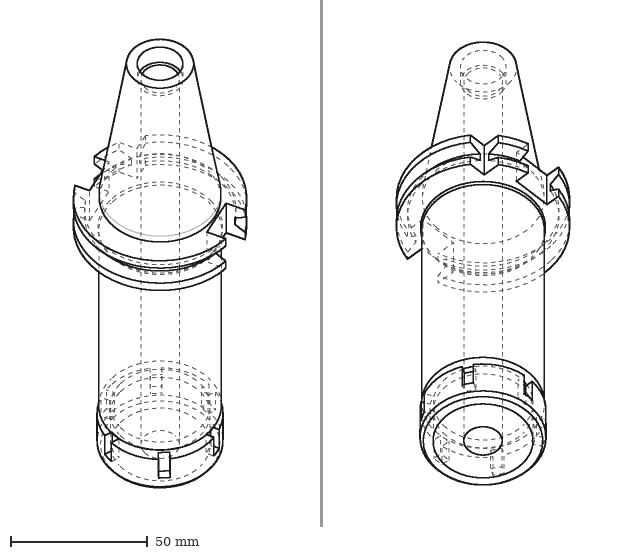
import cadquery as cq
import math

TOTAL_HEIGHT = 203.5
GAUGE_HEIGHT = 135.0
COLLAR_HEIGHT = 3.3
FLANGE_THICKNESS = 15.9
NECK_HEIGHT = 4.3
NUT_HEIGHT = 16.5

TAPER_RATIO = 7 / 24
GAUGE_DIAMETER = 44.5
SHANK_DIAMETER = 45.0
NECK_DIAMETER = 36.6
SHANK_RELIEF_HEIGHT = 1.2
SHANK_RELIEF_WIDTH = 0.5

BORE_DIAMETER = 14.0
COUNTERBORE_DIAMETER = 16.7
COUNTERBORE_DEPTH = 8.1

FLANGE_DIAMETER = 63.5
GROOVE_FLOOR_DIAMETER = 55.5
GROOVE_FLOOR_WIDTH = 3.5
GROOVE_WALL_ANGLE = 30
DRIVE_SLOT_WIDTH = 16.0
DRIVE_SLOT_LEFT = 24.8
DRIVE_SLOT_RIGHT = 23.0
NOTCH_OFFSET = 18.5

NUT_DIAMETER = 46.2
NUT_CHAMFER_HEIGHT = 1.8
NUT_CHAMFER_WIDTH = 1.2
WRENCH_SLOT_COUNT = 6
WRENCH_SLOT_WIDTH = 4.3
WRENCH_SLOT_LENGTH = 10.0
WRENCH_SLOT_DEPTH = 3.5

flange_top = GAUGE_HEIGHT - COLLAR_HEIGHT
flange_bottom = flange_top - FLANGE_THICKNESS
shank_bottom = NUT_HEIGHT + NECK_HEIGHT
flange_radius = FLANGE_DIAMETER / 2
gauge_radius = GAUGE_DIAMETER / 2
shank_radius = SHANK_DIAMETER / 2
neck_radius = NECK_DIAMETER / 2
nut_radius = NUT_DIAMETER / 2
taper_tip_radius = gauge_radius - TAPER_RATIO * (TOTAL_HEIGHT - GAUGE_HEIGHT) / 2


def holder_blank():
    """Neck, shank, flange and taper turned from one half profile."""
    return (
        cq.Workplane("XZ")
        .moveTo(0, 0)
        .lineTo(neck_radius, 0)
        .lineTo(neck_radius, shank_bottom)
        .lineTo(shank_radius, shank_bottom)
        .lineTo(shank_radius, flange_bottom - SHANK_RELIEF_HEIGHT)
        .lineTo(shank_radius + SHANK_RELIEF_WIDTH, flange_bottom)
        .lineTo(flange_radius, flange_bottom)
        .lineTo(flange_radius, flange_top)
        .lineTo(gauge_radius, flange_top)
        .lineTo(gauge_radius, GAUGE_HEIGHT)
        .lineTo(taper_tip_radius, TOTAL_HEIGHT)
        .lineTo(0, TOTAL_HEIGHT)
        .close()
        .revolve(360, (0, 0, 0), (0, 1, 0))
    )


def gripper_groove():
    """Trapezoidal ring halfway up the flange rim."""
    middle = (flange_top + flange_bottom) / 2
    floor_radius = GROOVE_FLOOR_DIAMETER / 2
    wall_rise = (flange_radius - floor_radius) * math.tan(math.radians(GROOVE_WALL_ANGLE))
    half_floor = GROOVE_FLOOR_WIDTH / 2
    half_mouth = half_floor + wall_rise
    return (
        cq.Workplane("XZ")
        .moveTo(floor_radius, middle - half_floor)
        .lineTo(flange_radius, middle - half_mouth)
        .lineTo(flange_radius, middle + half_mouth)
        .lineTo(floor_radius, middle + half_floor)
        .close()
        .revolve(360, (0, 0, 0), (0, 1, 0))
    )


def flange_cut(x_min, x_max, y_min, y_max):
    """Rectangular block as tall as the flange."""
    return (
        cq.Workplane("XY", origin=(x_min, y_min, flange_bottom))
        .box(x_max - x_min, y_max - y_min, FLANGE_THICKNESS, centered=False)
    )


def drive_slots():
    """Two opposed slots through the rim, the -X one shallower."""
    half_width = DRIVE_SLOT_WIDTH / 2
    left = flange_cut(-flange_radius, -DRIVE_SLOT_LEFT, -half_width, half_width)
    right = flange_cut(DRIVE_SLOT_RIGHT, flange_radius, -half_width, half_width)
    return left.union(right)


def orientation_notch():
    """Square corner taken out of the rim between -X and +Y."""
    return flange_cut(-flange_radius, -NOTCH_OFFSET, NOTCH_OFFSET, flange_radius)


def axial_hole():
    """Through bore with a counterbore at the taper tip."""
    bore = cq.Workplane("XY").circle(BORE_DIAMETER / 2).extrude(TOTAL_HEIGHT)
    counterbore = (
        cq.Workplane("XY", origin=(0, 0, TOTAL_HEIGHT - COUNTERBORE_DEPTH))
        .circle(COUNTERBORE_DIAMETER / 2)
        .extrude(COUNTERBORE_DEPTH)
    )
    return bore.union(counterbore)


def make_holder():
    """Tool holder whose neck runs through the nut to its outer face."""
    return (
        holder_blank()
        .cut(gripper_groove())
        .cut(drive_slots())
        .cut(orientation_notch())
        .cut(axial_hole())
    )


def wrench_slot(angle):
    """Slot open at the nut's top face and rim, turned about the axis."""
    return (
        cq.Workplane("XY", origin=(nut_radius - WRENCH_SLOT_DEPTH / 2, 0, NUT_HEIGHT - WRENCH_SLOT_LENGTH))
        .box(WRENCH_SLOT_DEPTH, WRENCH_SLOT_WIDTH, WRENCH_SLOT_LENGTH, centered=(True, True, False))
        .rotate((0, 0, 0), (0, 0, 1), angle)
    )


def make_nut():
    """Ring on the neck with a chamfered bottom rim and wrench slots."""
    nut = (
        cq.Workplane("XZ")
        .moveTo(neck_radius, 0)
        .lineTo(nut_radius - NUT_CHAMFER_WIDTH, 0)
        .lineTo(nut_radius, NUT_CHAMFER_HEIGHT)
        .lineTo(nut_radius, NUT_HEIGHT)
        .lineTo(neck_radius, NUT_HEIGHT)
        .close()
        .revolve(360, (0, 0, 0), (0, 1, 0))
    )
    for index in range(WRENCH_SLOT_COUNT):
        nut = nut.cut(wrench_slot(index * 360 / WRENCH_SLOT_COUNT))
    return nut


holder = make_holder()
nut = make_nut()
result = cq.Compound.makeCompound([holder.val(), nut.val()])